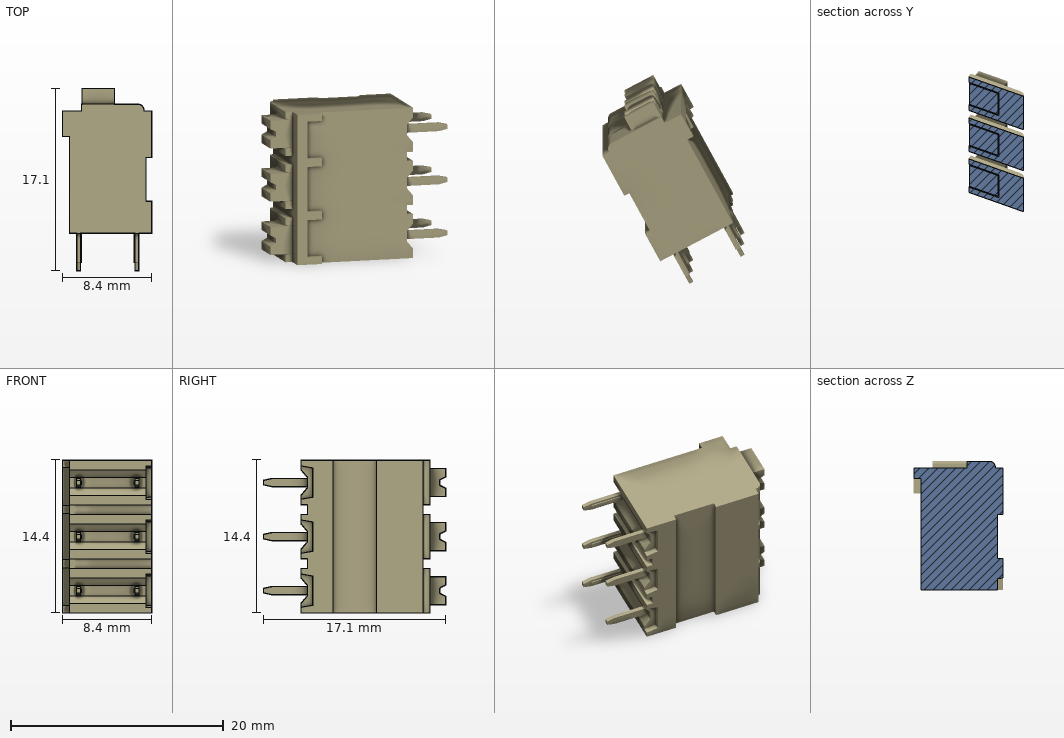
import cadquery as cq


pole_count = 3
pole_pitch = 5.08
pole_width = 4.2
block_height = (pole_count - 1) * pole_pitch + pole_width
pole_centers = [(i - (pole_count - 1) / 2) * pole_pitch for i in range(pole_count)]
gap_centers = [(a + b) / 2 for a, b in zip(pole_centers, pole_centers[1:])]
gap_width = pole_pitch - pole_width

overall_length = 17.15
body_depth = 7.75
body_length = 11.49
pin_projection = 3.53
foot_height = 0.6
button_projection = overall_length - pin_projection - body_length

lip_thickness = 0.65
lip_length = 1.0
tooth_length = 2.42
inner_tooth_width = 0.77
end_tooth_width = 0.7

recess_depth = 0.53
recess_start = 3.02
recess_end = 7.12
recess_floor = body_depth - recess_depth
pocket_mouth_width = 3.14
pocket_floor_width = 2.75
pocket_inner_depth = 1.08
pocket_outer_depth = 1.13

channel_floor_width = 1.0
channel_mouth_width = 2.4

collar_height = 0.65
collar_start = 1.13
collar_end = 7.03
collar_round = 0.6

button_start = 1.18
button_depth = 3.09
button_width = 2.65
notch_mouth_width = 1.06
notch_floor_width = 0.5
notch_depth = 0.55
button_clearance = 0.043
slot_flare = 0.12
slot_flare_depth = 0.25

pin_thickness = 0.38
pin_width = 0.79
pin_tip_width = 0.43
pin_taper_length = 0.8
pin_outer_offset = 0.69
pin_pad_height = 0.09
pin_pad_width = 0.35
pin_pad_start = 0.3


def box(x_range, y_range, z_range):
    """Box between the given limits along each axis."""
    ranges = (x_range, y_range, z_range)
    sizes = [high - low for low, high in ranges]
    corner = tuple(low for low, high in ranges)
    return cq.Workplane("XY").box(*sizes, centered=False).translate(corner)


def centered_range(center, width):
    return (center - width / 2, center + width / 2)


def symmetric_prism(half_profile, center_z, x_range):
    """Prism along X; half_profile lists (y, half width) and is mirrored about center_z."""
    upper = [(y, center_z + half) for y, half in half_profile]
    lower = [(y, center_z - half) for y, half in reversed(half_profile)]
    outline = cq.Workplane("YZ").workplane(offset=x_range[0]).polyline(upper + lower).close()
    return outline.extrude(x_range[1] - x_range[0])


def make_body():
    full_height = centered_range(0, block_height)
    body = box((0, body_depth), (0, body_length), full_height)
    body = body.cut(box((recess_floor, body_depth), (recess_start, recess_end), full_height))
    for z in gap_centers:
        body = body.cut(box((0, body_depth), (0, foot_height), centered_range(z, gap_width)))
    return body


def make_lip():
    lip_x = (-lip_thickness, 0)
    lip = box(lip_x, (body_length - lip_length, body_length), centered_range(0, block_height))
    tooth_y = (body_length - tooth_length, body_length)
    for z in gap_centers:
        lip = lip.union(box(lip_x, tooth_y, centered_range(z, inner_tooth_width)))
    end_center = (block_height - end_tooth_width) / 2
    for z in (-end_center, end_center):
        lip = lip.union(box(lip_x, tooth_y, centered_range(z, end_tooth_width)))
    return lip


def make_pin_channel(z):
    profile = [(0, channel_mouth_width / 2), (foot_height, channel_floor_width / 2)]
    return symmetric_prism(profile, z, (0, recess_floor))


def make_foot_pocket(z):
    """Pocket open to the seating face and the rear, with a floor that falls away to the rear."""
    profile = [(0, pocket_mouth_width / 2), (pocket_outer_depth, pocket_floor_width / 2)]
    pocket = symmetric_prism(profile, z, (recess_floor, body_depth))
    floor_wedge = (
        cq.Workplane("XY", origin=(0, 0, z - pocket_mouth_width / 2))
        .moveTo(recess_floor, pocket_inner_depth)
        .lineTo(body_depth, pocket_outer_depth)
        .lineTo(recess_floor, pocket_outer_depth)
        .close()
        .extrude(pocket_mouth_width)
    )
    return pocket.cut(floor_wedge)


def make_collar(z):
    collar_top = body_length + collar_height
    collar = box((collar_start, collar_end), (body_length, collar_top), centered_range(z, pole_width))
    collar = collar.edges("|Z and >X and >Y").fillet(collar_round)
    slot_half = button_width / 2 + button_clearance
    slot_profile = [
        (body_length, slot_half),
        (collar_top - slot_flare_depth, slot_half),
        (collar_top, slot_half + slot_flare),
    ]
    slot_end = button_start + button_depth + button_clearance
    return collar.cut(symmetric_prism(slot_profile, z, (collar_start, slot_end)))


def make_button(z):
    button_x = (button_start, button_start + button_depth)
    button_top = body_length + button_projection
    button = box(button_x, (body_length, button_top), centered_range(z, button_width))
    notch_profile = [
        (button_top - notch_depth, notch_floor_width / 2),
        (button_top, notch_mouth_width / 2),
    ]
    return button.cut(symmetric_prism(notch_profile, z, button_x))


def make_pin(z, outer_x, inner_direction):
    """Pin with its outer face at outer_x and a round-ended pad on the face toward the other pin."""
    inner_x = outer_x + inner_direction * pin_thickness
    taper_start = -pin_projection + pin_taper_length
    profile = [
        (-pin_projection, pin_tip_width / 2),
        (taper_start, pin_width / 2),
        (foot_height, pin_width / 2),
    ]
    pin = symmetric_prism(profile, z, (min(outer_x, inner_x), max(outer_x, inner_x)))
    pad = (
        cq.Workplane("YZ", origin=(inner_x, (taper_start + pin_pad_start) / 2, z))
        .slot2D(pin_pad_start - taper_start, pin_pad_width)
        .extrude(inner_direction * pin_pad_height)
    )
    return pin.union(pad)


result = make_body().union(make_lip())
for pole_z in pole_centers:
    result = result.cut(make_pin_channel(pole_z)).cut(make_foot_pocket(pole_z))
    result = result.union(make_collar(pole_z)).union(make_button(pole_z))
    result = result.union(make_pin(pole_z, pin_outer_offset, 1))
    result = result.union(make_pin(pole_z, recess_floor - pin_outer_offset, -1))